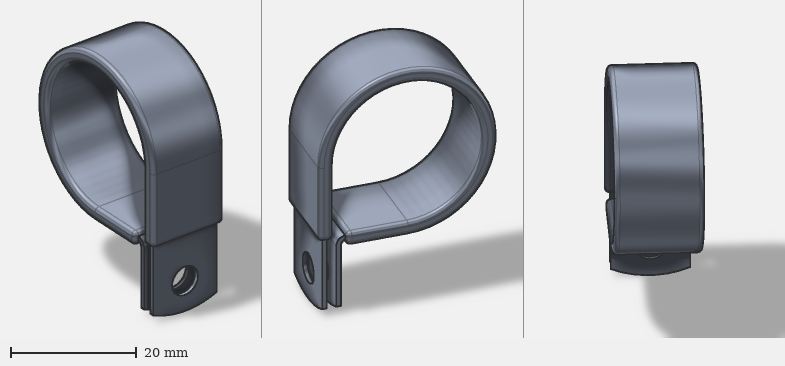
import cadquery as cq

strip_thickness = 0.8
outer_radius = 15.1
cushion_width = 14.3
overall_height = 42.65
lower_straight = 9.55
leg_gap = 1.6
hole_diameter = 5.15
hole_above_tip = 5.55
tip_sag = 1.32

edge_radius = strip_thickness
cushion_thickness = strip_thickness + 2 * edge_radius
inner_radius = outer_radius - cushion_thickness
strip_outer = outer_radius - edge_radius
strip_inner = inner_radius + edge_radius
strip_width = cushion_width - 2 * edge_radius
side_end = -(inner_radius + edge_radius)
lower_end = lower_straight + edge_radius
tip_z = outer_radius - overall_height
bent_leg_outer = strip_inner - leg_gap
bent_leg_inner = bent_leg_outer - strip_thickness
bend_inner_radius = strip_thickness
bend_outer_radius = bend_inner_radius + strip_thickness
bend_x = bent_leg_outer - bend_outer_radius
bend_z = -strip_outer


def extrude_centred(profile, width):
    """Extrude an XZ profile symmetrically about the XZ plane."""
    return profile.extrude(width / 2, both=True)


def make_cushion():
    """Three-quarter loop with two straight runs and fully rounded edges."""
    profile = (
        cq.Workplane("XZ")
        .moveTo(outer_radius, side_end)
        .lineTo(outer_radius, 0)
        .threePointArc((0, outer_radius), (-outer_radius, 0))
        .radiusArc((0, -outer_radius), -outer_radius)
        .lineTo(lower_end, -outer_radius)
        .lineTo(lower_end, -inner_radius)
        .lineTo(0, -inner_radius)
        .radiusArc((-inner_radius, 0), inner_radius)
        .threePointArc((0, inner_radius), (inner_radius, 0))
        .lineTo(inner_radius, side_end)
        .close()
    )
    return extrude_centred(profile, cushion_width).edges().fillet(edge_radius)


def make_straight_leg():
    """Strip running down from the side end of the cushion."""
    profile = cq.Workplane("XZ").moveTo(strip_inner, 0).lineTo(strip_outer, 0)
    profile = profile.lineTo(strip_outer, tip_z).lineTo(strip_inner, tip_z).close()
    return extrude_centred(profile, strip_width)


def make_bent_leg():
    """Strip leaving the lower end of the cushion and bending downward."""
    profile = (
        cq.Workplane("XZ")
        .moveTo(0, -strip_inner)
        .lineTo(bend_x, -strip_inner)
        .radiusArc((bent_leg_outer, bend_z - bend_inner_radius), bend_outer_radius)
        .lineTo(bent_leg_outer, tip_z)
        .lineTo(bent_leg_inner, tip_z)
        .lineTo(bent_leg_inner, bend_z - bend_inner_radius)
        .radiusArc((bend_x, bend_z), -bend_inner_radius)
        .lineTo(0, bend_z)
        .close()
    )
    return extrude_centred(profile, strip_width)


def make_leg_outline():
    """Solid along X with the curved tip and bolt hole shared by both legs."""
    half_width = strip_width / 2
    outline = (
        cq.Workplane("YZ")
        .moveTo(-half_width, 0)
        .lineTo(-half_width, tip_z + tip_sag)
        .threePointArc((0, tip_z), (half_width, tip_z + tip_sag))
        .lineTo(half_width, 0)
        .close()
        .extrude(outer_radius)
    )
    hole = (
        cq.Workplane("YZ")
        .center(0, tip_z + hole_above_tip)
        .circle(hole_diameter / 2)
        .extrude(outer_radius)
    )
    return outline.cut(hole)


legs = make_straight_leg().union(make_bent_leg()).intersect(make_leg_outline())
result = make_cushion().union(legs)